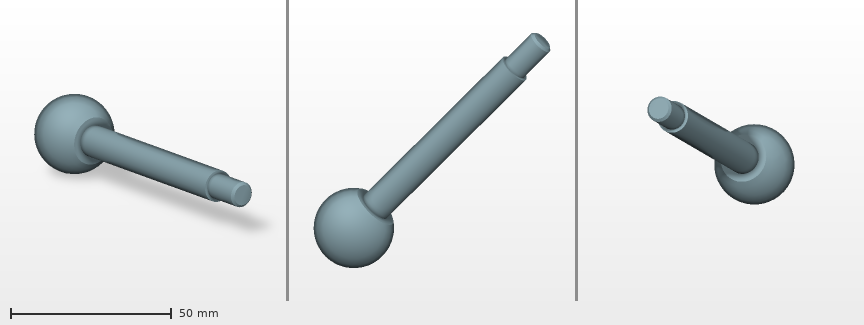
import cadquery as cq

total_length = 100.5
ball_diameter = 25.0
shaft_diameter = 10.0
pin_diameter = 8.0

flat_from_ball_end = 22.5
pin_length = 13.0
pin_chamfer = 0.8

ball_radius = ball_diameter / 2
flat_x = flat_from_ball_end - ball_radius
tip_x = total_length - ball_radius
shoulder_x = tip_x - pin_length


def rod(diameter, start_x, end_x):
    """Round bar along X between two positions."""
    return cq.Workplane("YZ", origin=(start_x, 0, 0)).circle(diameter / 2).extrude(end_x - start_x)


def ball_with_flat():
    """Ball revolved about X, cut flat on the shaft side."""
    flat_radius = (ball_radius**2 - flat_x**2) ** 0.5
    return (
        cq.Workplane("XY")
        .moveTo(-ball_radius, 0)
        .threePointArc((0, ball_radius), (flat_x, flat_radius))
        .lineTo(flat_x, 0)
        .close()
        .revolve(360, (0, 0, 0), (1, 0, 0))
    )


shaft = rod(shaft_diameter, 0, shoulder_x)
pin = rod(pin_diameter, shoulder_x, tip_x).faces(">X").chamfer(pin_chamfer)

result = ball_with_flat().union(shaft).union(pin)